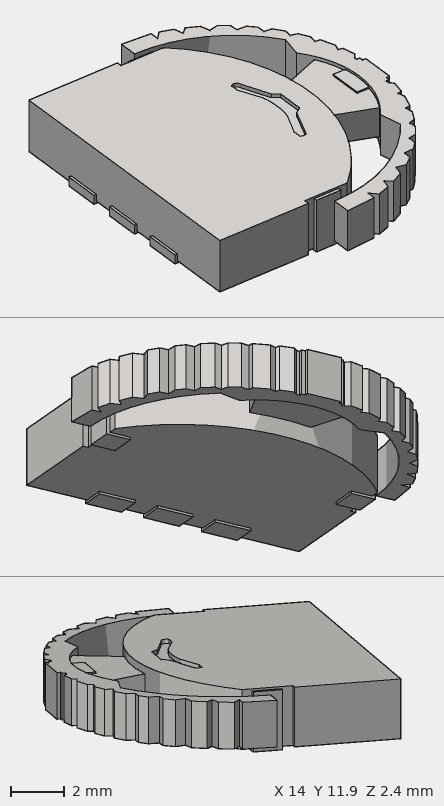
import cadquery as cq
import math


base_half_width = 5.89
shoulder_half_width = 5.67
base_front_y = -5.14
step_y = -1.0
arch_start_y = 0.96
arch_top_y = 3.55
housing_bottom_z = 0.1
housing_top_z = 2.4

recess_depth = 0.17
recess_top_y = 2.58
recess_front_y = 1.45
recess_crest_y = 1.98
hump_half_width = 0.59
hump_foot = (0.78, 2.3)
recess_shoulder = (1.97, 1.8)
recess_tip = (2.16, 1.62)
recess_end_x = 2.11
recess_heel_x = 1.75
recess_bend = (0.78, 1.88)
recess_bend_middle = (0.4, 1.97)

clip_half_length = 0.57
clip_outer_x = 5.81
clip_inner_x = 4.77
clip_top_z = 2.32
terminal_width = 1.55
terminal_pitch = 2.5
terminal_front_y = -5.25
terminal_back_y = -4.23
terminal_top_z = 0.4

ring_half_width = 6.98
tip_center_y = -0.46
tip_radius = 7.1
ring_inner_radius = 6.17
ring_bottom_z = 0.45
ring_top_z = 2.25

hub_outer_x = 3.55
hub_outer_y = math.sqrt(ring_inner_radius**2 - hub_outer_x**2)
hub_corner_x = 2.58
hub_corner_y = 4.85
hub_arc_top_y = 5.78

root_center_y = -0.18
root_radius = 6.66
first_root_angle = 13.0
root_pitch_angle = 8.7
lower_tip_spans = (0.9, 2.2, 2.6, 2.1, 2.3, 2.0, 2.4, 2.0)
upper_tip_spans = (1.6, 1.2, 2.4, 2.7, 2.1, 1.9, 0.9, 0.8)

crown_half_width = 0.91
crown_y = 6.52
crown_notch_y = 6.38
crown_notch_floor_x = 1.03
last_tip_x = 1.23
last_tip_y = tip_center_y + math.sqrt(tip_radius**2 - last_tip_x**2)

spoke_half_angle = 21.0
spoke_inner_y = 3.07
spoke_outer_y = 5.86
spoke_bottom_z = 0.8
spoke_top_z = 2.1
mark_half_width = 0.74
mark_inner_y = 5.15
mark_outer_y = 6.67
mark_top_z = 2.15


def box_between(x_range, y_range, z_range):
    """Axis-aligned box from its lower and upper bounds."""
    (x0, x1), (y0, y1), (z0, z1) = x_range, y_range, z_range
    return cq.Workplane("XY").box(x1 - x0, y1 - y0, z1 - z0, centered=False).translate((x0, y0, z0))


def polar(radius, angle, center_y):
    """Point on a circle centred on the symmetry plane, angle in degrees from +X."""
    turn = math.radians(angle)
    return (radius * math.cos(turn), center_y + radius * math.sin(turn))


def angle_about(point, center_y):
    """Angle in degrees from +X of a point seen from (0, center_y)."""
    return math.degrees(math.atan2(point[1] - center_y, point[0]))


def mirrored_pair(solid):
    """A solid together with its mirror image across the YZ plane."""
    return solid.union(solid.mirror("YZ"))


def make_housing():
    outline = (
        cq.Workplane("XY", origin=(0, 0, housing_bottom_z))
        .moveTo(-base_half_width, base_front_y)
        .lineTo(base_half_width, base_front_y)
        .lineTo(base_half_width, step_y)
        .lineTo(shoulder_half_width, step_y)
        .lineTo(shoulder_half_width, arch_start_y)
        .threePointArc((0, arch_top_y), (-shoulder_half_width, arch_start_y))
        .lineTo(-shoulder_half_width, step_y)
        .lineTo(-base_half_width, step_y)
        .close()
    )
    return outline.extrude(housing_top_z - housing_bottom_z)


def make_recess():
    """Bowed slot with a flat-topped hump and rounded ends, symmetric about X = 0."""
    half_outline = (
        cq.Workplane("XY", origin=(0, 0, housing_top_z - recess_depth))
        .moveTo(0, recess_top_y)
        .lineTo(hump_half_width, recess_top_y)
        .lineTo(*hump_foot)
        .lineTo(*recess_shoulder)
        .threePointArc(recess_tip, (recess_end_x, recess_front_y))
        .lineTo(recess_heel_x, recess_front_y)
        .lineTo(*recess_bend)
        .threePointArc(recess_bend_middle, (0, recess_crest_y))
        .close()
    )
    return mirrored_pair(half_outline.extrude(recess_depth))


def make_clips():
    """Side strips that fold under the housing as solder feet."""
    length = (-clip_half_length, clip_half_length)
    wall = box_between((shoulder_half_width, clip_outer_x), length, (0, clip_top_z))
    foot = box_between((clip_inner_x, clip_outer_x), length, (0, housing_bottom_z))
    return mirrored_pair(wall.union(foot))


def make_terminals():
    """Three L-shaped terminals wrapped around the lower front edge."""
    terminals = cq.Workplane("XY")
    for index in (-1, 0, 1):
        left_x = index * terminal_pitch - terminal_width / 2
        width = (left_x, left_x + terminal_width)
        front = box_between(width, (terminal_front_y, base_front_y), (0, terminal_top_z))
        foot = box_between(width, (terminal_front_y, terminal_back_y), (0, housing_bottom_z))
        terminals = terminals.union(front).union(foot)
    return terminals


def make_half_ring():
    """The +X half of the toothed ring, from its free end to the symmetry plane."""
    outline = (
        cq.Workplane("XY", origin=(0, 0, ring_bottom_z))
        .moveTo(ring_inner_radius, 0)
        .lineTo(ring_half_width, 0)
    )
    for index, (lower_span, upper_span) in enumerate(zip(lower_tip_spans, upper_tip_spans)):
        root = polar(root_radius, first_root_angle + index * root_pitch_angle, root_center_y)
        root_angle = angle_about(root, tip_center_y)
        outline = (
            outline.lineTo(*polar(tip_radius, root_angle - lower_span, tip_center_y))
            .lineTo(*root)
            .lineTo(*polar(tip_radius, root_angle + upper_span, tip_center_y))
        )

    hub_drop = hub_arc_top_y - hub_corner_y
    hub_radius = (hub_corner_x**2 + hub_drop**2) / (2 * hub_drop)
    hub_center_y = hub_arc_top_y - hub_radius
    hub_middle_angle = (angle_about((hub_corner_x, hub_corner_y), hub_center_y) + 90) / 2
    inner_middle_angle = angle_about((hub_outer_x, hub_outer_y), 0) / 2
    outline = (
        outline.lineTo(last_tip_x, last_tip_y)
        .lineTo(crown_notch_floor_x, crown_notch_y)
        .lineTo(crown_half_width, crown_notch_y)
        .lineTo(crown_half_width, crown_y)
        .lineTo(0, crown_y)
        .lineTo(0, hub_arc_top_y)
        .threePointArc(polar(hub_radius, hub_middle_angle, hub_center_y), (hub_corner_x, hub_corner_y))
        .lineTo(hub_outer_x, hub_outer_y)
        .threePointArc(polar(ring_inner_radius, inner_middle_angle, 0), (ring_inner_radius, 0))
        .close()
    )
    return outline.extrude(ring_top_z - ring_bottom_z)


def make_spoke():
    """Radial wedge joining the ring to the housing."""
    slope = math.tan(math.radians(spoke_half_angle))
    inner_x = spoke_inner_y * slope
    outer_x = spoke_outer_y * slope
    corners = [
        (-inner_x, spoke_inner_y),
        (inner_x, spoke_inner_y),
        (outer_x, spoke_outer_y),
        (-outer_x, spoke_outer_y),
    ]
    wedge = cq.Workplane("XY", origin=(0, 0, spoke_bottom_z)).polyline(corners).close()
    return wedge.extrude(spoke_top_z - spoke_bottom_z)


def make_index_mark():
    """Flat centre tooth on the rim and a raised pad behind it on the spoke."""
    width = (-mark_half_width, mark_half_width)
    tooth = box_between(width, (hub_arc_top_y, mark_outer_y), (ring_bottom_z, ring_top_z))
    pad = box_between(width, (mark_inner_y, hub_arc_top_y), (spoke_bottom_z, mark_top_z))
    return tooth.union(pad)


result = (
    make_housing()
    .cut(make_recess())
    .union(make_clips())
    .union(make_terminals())
    .union(mirrored_pair(make_half_ring()))
    .union(make_spoke())
    .union(make_index_mark())
)